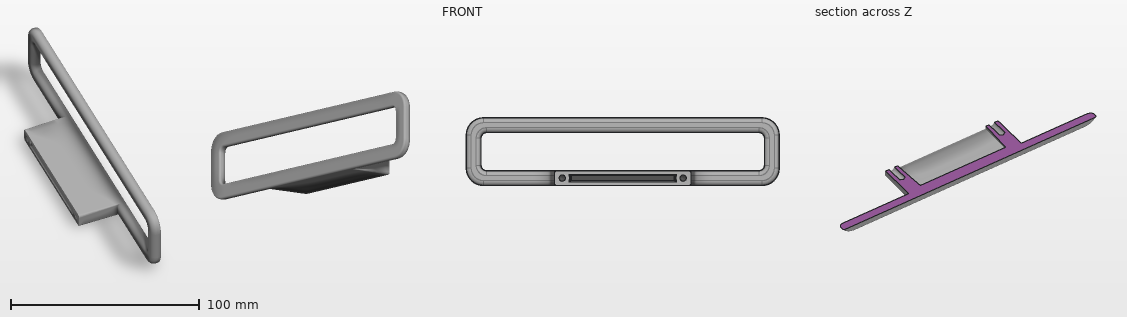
import cadquery as cq
import math

ring_length = 166.0
ring_height = 36.0
ring_depth = 5.1
bar_width = 8.0
outer_corner_radius = 9.3
inner_corner_radius = 2.8
front_edge_radius = 2.7
back_edge_radius = 1.0

block_length = 72.4
block_height = bar_width
block_reach = 21.9
block_root_corner_radius = 0.5
block_face_corner_radius = 1.3
block_center_z = block_height / 2
block_face_y = -(ring_depth + block_reach)
block_root_y = -(back_edge_radius + ring_depth - front_edge_radius) / 2

hole_spacing = 64.0
hole_diameter = 3.3
hole_depth = 10.0
drill_tip_angle = 118.0

pocket_length = 56.8
pocket_height = 4.0
pocket_depth = 19.9
pocket_draft_angle = 2.0

boss_face_radius = 3.8
boss_floor_radius = 4.8


def face_plane(y):
    """Plane at the given y whose normal points back into the part (+Y)."""
    origin = (0, y, block_center_z)
    return cq.Plane(origin=origin, xDir=(1, 0, 0), normal=(0, 1, 0))


def rounded_slab(length, height, corner_radius):
    """Plate of the ring's depth with rounded corners, centred on the ring."""
    return (
        cq.Workplane("XZ", origin=(0, 0, ring_height / 2))
        .rect(length, height)
        .extrude(ring_depth)
        .edges("|Y")
        .fillet(corner_radius)
    )


def make_ring():
    outer = rounded_slab(ring_length, ring_height, outer_corner_radius)
    opening = rounded_slab(
        ring_length - 2 * bar_width, ring_height - 2 * bar_width, inner_corner_radius
    )
    ring = outer.cut(opening)
    ring = ring.faces("<Y").edges().fillet(front_edge_radius)
    return ring.faces(">Y").edges().fillet(back_edge_radius)


def block_section(corner_radius):
    return cq.Sketch().rect(block_length, block_height).vertices().fillet(corner_radius)


def make_block():
    """Block whose long corners sharpen from the front face to the root."""
    face = block_section(block_face_corner_radius)
    root = block_section(block_root_corner_radius)
    return (
        cq.Workplane(face_plane(block_face_y))
        .placeSketch(face, root.moved(cq.Location(cq.Vector(0, 0, block_root_y - block_face_y))))
        .loft()
    )


def turned_plug(x, half_profile):
    """Solid turned about the screw axis at x; profile points are (radius, depth)."""
    return (
        cq.Workplane("XY", origin=(x, block_face_y, block_center_z))
        .polyline(half_profile)
        .close()
        .revolve(360, (0, 0), (0, 1))
    )


def make_hole(x):
    """Blind hole with a conical drill tip."""
    radius = hole_diameter / 2
    tip_depth = radius / math.tan(math.radians(drill_tip_angle / 2))
    return turned_plug(x, [(0, 0), (radius, 0), (radius, hole_depth), (0, hole_depth + tip_depth)])


def make_boss(x):
    return turned_plug(
        x, [(0, 0), (boss_face_radius, 0), (boss_floor_radius, pocket_depth), (0, pocket_depth)]
    )


def make_pocket():
    return (
        cq.Workplane(face_plane(block_face_y))
        .rect(pocket_length, pocket_height)
        .extrude(pocket_depth, taper=pocket_draft_angle)
    )


pocket = make_pocket()
hole_positions = (-hole_spacing / 2, hole_spacing / 2)
for hole_x in hole_positions:
    pocket = pocket.cut(make_boss(hole_x))

result = make_ring().union(make_block()).cut(pocket)
for hole_x in hole_positions:
    result = result.cut(make_hole(hole_x))